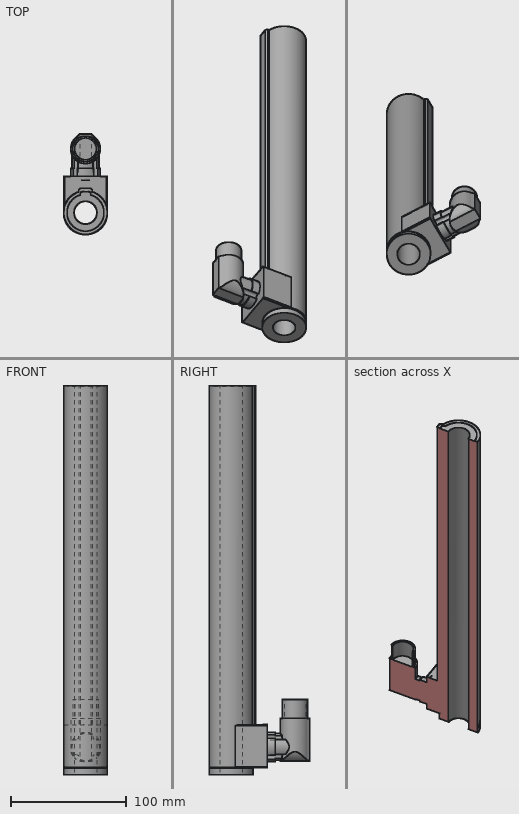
import cadquery as cq
import math

TOTAL_HEIGHT = 336.0
TUBE_WIDTH = 38.0
TUBE_RADIUS = TUBE_WIDTH / 2
BORE_RADIUS = 9.7
CAP_HEIGHT = 5.7
GROOVE_WIDTH = 1.0
GROOVE_DEPTH = 0.5

RIB_TOP_Y = 21.0
RIB_HALF_WIDTH = 5.7
RIB_CORNER_BEVEL = 1.5

SKIN_THICKNESS = 3.0
CORE_RIB_HALF_WIDTH = 4.5
CORE_RECESS = 0.5

BOX_HALF_WIDTH = 18.8
BOX_START_Y = 3.7
BOX_END_Y = 31.2
BOX_BOTTOM_Z = 6.0
BOX_TOP_Z = 43.5
BOX_BEVEL = 1.0
BUMP_HALF_WIDTH = 3.0
BUMP_LENGTH = 3.5
BUMP_HEIGHT = 0.5

PLUG_AXIS_Z = 24.2
COLLAR_RADIUS = 12.8
COLLAR_LENGTH = 7.0
NECK_RADIUS = 11.8
SCALLOP_RADIUS = 2.5
SCALLOP_CENTRE_RADIUS = 12.0
SCALLOP_COUNT = 4
FIRST_SCALLOP_ANGLE = 45

ELBOW_RADIUS = 12.8
ELBOW_AXIS_Y = 55.0
ELBOW_TOP_Z = 48.7
OVERALL_DEPTH = 87.0
KEY_TOP_Y = OVERALL_DEPTH - TUBE_RADIUS
KEY_HALF_WIDTH = 5.0
KEY_BASE_HALF_WIDTH = 7.5
ELBOW_END_RADIUS = 13.5
ELBOW_END_MID_ANGLE = math.radians(30)
ELBOW_BOTTOM_Z = 11.8

SLEEVE_RADIUS = 11.0
SLEEVE_BORE_RADIUS = 9.5
SLEEVE_TOP_Z = 65.2


def cylinder(radius, bottom, top, y=0.0):
    """Upright cylinder between two heights."""
    return cq.Workplane("XY", origin=(0, y, bottom)).circle(radius).extrude(top - bottom)


def rod(radius, start, end, x=0.0, z=PLUG_AXIS_Z):
    """Cylinder along Y between two Y positions."""
    return cq.Workplane("XZ", origin=(x, start, z)).circle(radius).extrude(start - end)


def ribbed_bar(radius, rib_top, rib_half_width, bottom, top):
    """Upright round bar with a bevelled rib on its +Y side."""
    rib = (
        cq.Workplane("XY", origin=(0, 0, bottom))
        .moveTo(-rib_half_width, 0)
        .lineTo(-rib_half_width, rib_top - RIB_CORNER_BEVEL)
        .lineTo(-rib_half_width + RIB_CORNER_BEVEL, rib_top)
        .lineTo(rib_half_width - RIB_CORNER_BEVEL, rib_top)
        .lineTo(rib_half_width, rib_top - RIB_CORNER_BEVEL)
        .lineTo(rib_half_width, 0)
        .close()
        .extrude(top - bottom)
    )
    return cylinder(radius, bottom, top).union(rib)


def make_tube():
    """Ribbed tube on a plain round end cap, parted by a shallow groove."""
    groove_top = CAP_HEIGHT + GROOVE_WIDTH
    skin = ribbed_bar(TUBE_RADIUS, RIB_TOP_Y, RIB_HALF_WIDTH, groove_top, TOTAL_HEIGHT)
    core_recess = ribbed_bar(
        TUBE_RADIUS - SKIN_THICKNESS,
        RIB_TOP_Y - SKIN_THICKNESS,
        CORE_RIB_HALF_WIDTH,
        TOTAL_HEIGHT - CORE_RECESS,
        TOTAL_HEIGHT,
    )
    cap = cylinder(TUBE_RADIUS, 0, CAP_HEIGHT)
    groove_floor = cylinder(TUBE_RADIUS - GROOVE_DEPTH, 0, groove_top)
    return skin.cut(core_recess).union(groove_floor).union(cap)


def make_box():
    """Box with its four long edges bevelled and a low rounded bump at the back of its top."""
    mid_z = (BOX_BOTTOM_Z + BOX_TOP_Z) / 2
    box = (
        cq.Workplane("XZ", origin=(0, BOX_END_Y, mid_z))
        .rect(2 * BOX_HALF_WIDTH, BOX_TOP_Z - BOX_BOTTOM_Z)
        .extrude(BOX_END_Y - BOX_START_Y)
        .edges("|Y")
        .chamfer(BOX_BEVEL)
    )
    bump = (
        cq.Workplane("XZ", origin=(0, BOX_END_Y, BOX_TOP_Z))
        .moveTo(-BUMP_HALF_WIDTH, 0)
        .threePointArc((0, BUMP_HEIGHT), (BUMP_HALF_WIDTH, 0))
        .close()
        .extrude(BUMP_LENGTH)
    )
    return box.union(bump)


def make_collar_and_neck():
    """Stepped round connector with concave scallops on its diagonals."""
    collar_end = BOX_END_Y + COLLAR_LENGTH
    body = rod(COLLAR_RADIUS, BOX_END_Y, collar_end)
    body = body.union(rod(NECK_RADIUS, collar_end, ELBOW_AXIS_Y))
    for index in range(SCALLOP_COUNT):
        angle = math.radians(FIRST_SCALLOP_ANGLE + index * 360 / SCALLOP_COUNT)
        scallop_x = SCALLOP_CENTRE_RADIUS * math.cos(angle)
        scallop_z = PLUG_AXIS_Z + SCALLOP_CENTRE_RADIUS * math.sin(angle)
        body = body.cut(rod(SCALLOP_RADIUS, BOX_END_Y, ELBOW_AXIS_Y, scallop_x, scallop_z))
    return body


def make_elbow():
    """Keyed upright barrel whose lower end is rounded about the Y axis."""
    key_base = math.sqrt(ELBOW_RADIUS**2 - KEY_BASE_HALF_WIDTH**2)
    barrel = (
        cq.Workplane("XY", origin=(0, ELBOW_AXIS_Y, 0))
        .moveTo(KEY_BASE_HALF_WIDTH, key_base)
        .lineTo(KEY_HALF_WIDTH, KEY_TOP_Y - ELBOW_AXIS_Y)
        .lineTo(-KEY_HALF_WIDTH, KEY_TOP_Y - ELBOW_AXIS_Y)
        .lineTo(-KEY_BASE_HALF_WIDTH, key_base)
        .threePointArc((0, -ELBOW_RADIUS), (KEY_BASE_HALF_WIDTH, key_base))
        .close()
        .extrude(ELBOW_TOP_Z)
    )
    lower_base = PLUG_AXIS_Z - math.sqrt(ELBOW_END_RADIUS**2 - KEY_BASE_HALF_WIDTH**2)
    side_arc_x = ELBOW_END_RADIUS * math.cos(ELBOW_END_MID_ANGLE)
    side_arc_z = PLUG_AXIS_Z - ELBOW_END_RADIUS * math.sin(ELBOW_END_MID_ANGLE)
    envelope = (
        cq.Workplane("XZ", origin=(0, ELBOW_AXIS_Y + ELBOW_END_RADIUS, 0))
        .moveTo(-KEY_HALF_WIDTH, ELBOW_BOTTOM_Z)
        .lineTo(KEY_HALF_WIDTH, ELBOW_BOTTOM_Z)
        .lineTo(KEY_BASE_HALF_WIDTH, lower_base)
        .threePointArc((side_arc_x, side_arc_z), (ELBOW_END_RADIUS, PLUG_AXIS_Z))
        .lineTo(ELBOW_END_RADIUS, ELBOW_TOP_Z)
        .lineTo(-ELBOW_END_RADIUS, ELBOW_TOP_Z)
        .lineTo(-ELBOW_END_RADIUS, PLUG_AXIS_Z)
        .threePointArc((-side_arc_x, side_arc_z), (-KEY_BASE_HALF_WIDTH, lower_base))
        .close()
        .extrude(2 * ELBOW_END_RADIUS)
    )
    return barrel.intersect(envelope)


def make_sleeve():
    sleeve = cylinder(SLEEVE_RADIUS, ELBOW_TOP_Z, SLEEVE_TOP_Z, ELBOW_AXIS_Y)
    return sleeve.cut(cylinder(SLEEVE_BORE_RADIUS, ELBOW_TOP_Z, SLEEVE_TOP_Z, ELBOW_AXIS_Y))


through_bore = cylinder(BORE_RADIUS, 0, TOTAL_HEIGHT)

result = (
    make_tube()
    .union(make_box())
    .union(make_collar_and_neck())
    .union(make_elbow())
    .union(make_sleeve())
    .cut(through_bore)
)